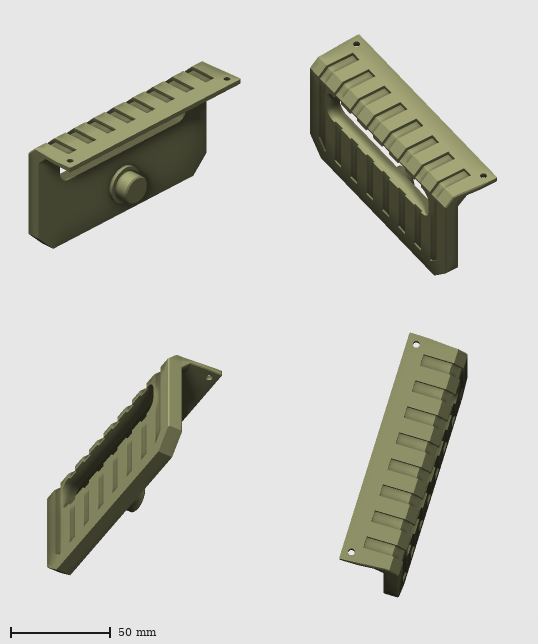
import cadquery as cq

depth = 31.0
length = 122.0
height = 62.0

wall_thickness = 8.0
top_thickness = 3.0
bend_bevel = 5.0
edge_chamfer = 0.6
inner_chamfer = 0.5
wall_length = 120.0
taper_start_x = wall_thickness - inner_chamfer
taper_end_x = 21.0
corner_bevel = 10.0

window_length = 90.0
window_height = 18.0
window_radius = 6.0
window_top_z = height - top_thickness - bend_bevel

groove_count = 8
groove_pitch = 14.0
groove_width = 6.1
groove_wall_depth = 1.0
groove_top_depth = 2.0
groove_end_x = 21.0
groove_bottom_z = 8.0
groove_corner_bevel = 5.0

hole_diameter = 3.4
hole_edge_distance = 5.0

boss_z = 17.0
flange_diameter = 20.0
flange_end_x = 10.0
boss_diameter = 15.1
boss_end_x = 17.9
boss_chamfer = 0.7


def extrude_side_outline(points):
    """Extrude an XZ outline over the full length, to both sides of Y = 0."""
    return cq.Workplane("XZ").polyline(points).close().extrude(length, both=True)


def make_tapered_plan():
    """Plan of the plate: straight along the wall, then widening up to the free edge.

    The taper runs on past the full length, so that the outer chamfer fades out along the squared ends.
    """
    wall_y = wall_length / 2
    taper_slope = (length / 2 - wall_y) / (taper_end_x - taper_start_x)
    free_edge_y = wall_y + taper_slope * (depth - taper_start_x)
    return (
        cq.Workplane("XY")
        .polyline([
            (0, -wall_y),
            (taper_start_x, -wall_y),
            (depth, -free_edge_y),
            (depth, free_edge_y),
            (taper_start_x, wall_y),
            (0, wall_y),
        ])
        .close()
        .extrude(height)
    )


def make_outer_envelope():
    """Block with the bevelled bend, chamfered along the ends of its wall face, bevel and top face."""
    block = extrude_side_outline([
        (0, 0),
        (0, height - bend_bevel),
        (bend_bevel, height),
        (depth, height),
        (depth, 0),
    ])
    tapered = block.intersect(make_tapered_plan())
    outer_edges = tapered.faces("<X or >Z or >(-1,0,1)").edges("not |Y")
    return outer_edges.chamfer(edge_chamfer)


def make_plate():
    """Wall, bend and top plate, with the ends of their inner faces and the free edge chamfered."""
    underside_z = height - top_thickness
    brace_top_x = wall_thickness + height - window_top_z
    brace_bottom_z = window_top_z - wall_thickness
    plan = make_tapered_plan().intersect(cq.Workplane("XY").box(2 * depth, length, 2 * height))

    wall = extrude_side_outline([(0, 0), (0, height), (wall_thickness, height), (wall_thickness, 0)])
    wall = wall.intersect(plan)
    wall = wall.faces(">X").edges("|Z").chamfer(inner_chamfer)

    brace = extrude_side_outline([(0, brace_bottom_z), (0, height), (brace_top_x, height)])
    brace = brace.intersect(plan)
    brace = brace.faces("<(-1,0,1)").edges("not |Y").chamfer(inner_chamfer)

    top = extrude_side_outline([(0, underside_z), (0, height), (depth, height), (depth, underside_z)])
    top = top.intersect(plan)
    top = top.edges("(<Z and (not |Y)) or (>X and (not >Z))").chamfer(inner_chamfer)

    return wall.union(brace).union(top).intersect(make_outer_envelope())


def make_corner_cut(side):
    """Prism that bevels the lower wall corner on the +Y (side = 1) or -Y (side = -1) end."""
    wall_y = wall_length / 2
    return (
        cq.Workplane("YZ")
        .polyline([
            (side * (wall_y - corner_bevel), 0),
            (side * wall_y, corner_bevel),
            (side * length, corner_bevel),
            (side * length, 0),
        ])
        .close()
        .extrude(depth)
    )


def make_window():
    """Rounded opening through the wall, directly below the bend."""
    return (
        cq.Workplane("YZ")
        .center(0, window_top_z - window_height / 2)
        .rect(window_length, window_height)
        .extrude(wall_thickness)
        .edges("|X")
        .fillet(window_radius)
    )


def make_groove(y):
    """Cutter for one groove running up the wall, over the bend bevel and along the top face."""
    floor_z = height - groove_top_depth
    return (
        cq.Workplane("XZ", origin=(0, y, 0))
        .polyline([
            (0, groove_bottom_z),
            (groove_wall_depth, groove_bottom_z),
            (groove_wall_depth, floor_z - bend_bevel),
            (groove_wall_depth + bend_bevel, floor_z),
            (groove_end_x, floor_z),
            (groove_end_x, height),
            (0, height),
        ])
        .close()
        .extrude(groove_width / 2, both=True)
    )


def make_end_groove(y):
    """Outermost groove, with its lower outer corner bevelled alongside the wall corner."""
    outer_edge = "<Y" if y < 0 else ">Y"
    return make_groove(y).faces("<Z").edges(outer_edge).chamfer(groove_corner_bevel)


def make_boss():
    """Flange and smaller cylinder standing on the inner wall face."""
    flange = (
        cq.Workplane("YZ", origin=(wall_thickness, 0, boss_z))
        .circle(flange_diameter / 2)
        .extrude(flange_end_x - wall_thickness)
    )
    cylinder = (
        cq.Workplane("YZ", origin=(wall_thickness, 0, boss_z))
        .circle(boss_diameter / 2)
        .extrude(boss_end_x - wall_thickness)
        .faces(">X")
        .chamfer(boss_chamfer)
    )
    return flange.union(cylinder)


result = make_plate()
result = result.cut(make_corner_cut(1)).cut(make_corner_cut(-1))
result = result.cut(make_window())

outermost_y = groove_pitch * (groove_count - 1) / 2
for index in range(groove_count):
    groove_y = index * groove_pitch - outermost_y
    if index in (0, groove_count - 1):
        groove = make_end_groove(groove_y)
    else:
        groove = make_groove(groove_y)
    result = result.cut(groove)

hole_x = depth - hole_edge_distance
hole_y = length / 2 - hole_edge_distance
holes = (
    cq.Workplane("XY")
    .pushPoints([(hole_x, -hole_y), (hole_x, hole_y)])
    .circle(hole_diameter / 2)
    .extrude(height)
)
result = result.cut(holes)

result = result.union(make_boss())